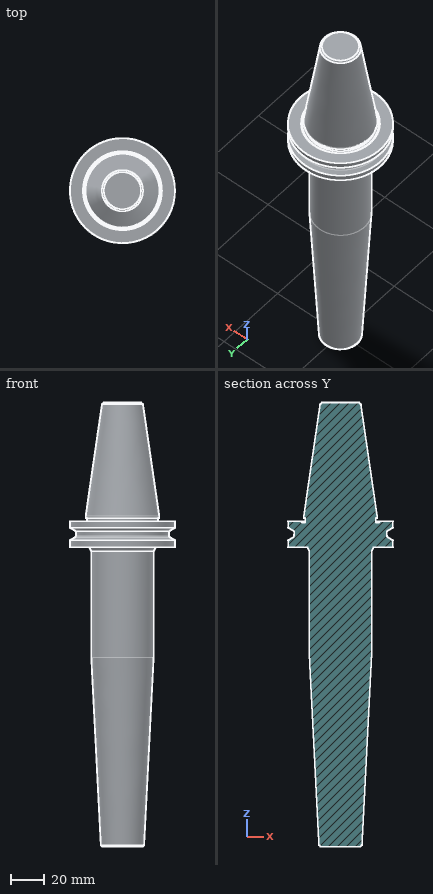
import cadquery as cq

length = 268.5
taper_length = 68.5
flange_top_gap = 3.2
flange_bottom_gap = 19.0
straight_bottom = 114.5

gauge_z = length - taper_length
flange_top = gauge_z - flange_top_gap
flange_bottom = gauge_z - flange_bottom_gap

gauge_radius = 44.5 / 2
taper_ratio = 7 / 24
taper_end_radius = gauge_radius - taper_length * taper_ratio / 2
taper_chamfer = 1.0
gauge_land = 1.3

neck_radius = 21.5
undercut_depth = 0.8
undercut_radius = 24.0

flange_radius = 63.5 / 2
groove_radius = 56.4 / 2
groove_top = gauge_z - 7.2
groove_bottom = gauge_z - 14.8
groove_side_height = 2.1
groove_fillet = 1.0

shank_radius = 37.8 / 2
collar_radius = 20.0
collar_height = 2.5
nose_radius = 13.2
nose_chamfer = 1.0

shank_section = [
    (0, 0),
    (nose_radius - nose_chamfer, 0),
    (nose_radius, nose_chamfer),
    (shank_radius, straight_bottom),
    (shank_radius, flange_bottom - collar_height),
    (collar_radius, flange_bottom),
]
flange_section = [
    (flange_radius, flange_bottom),
    (flange_radius, groove_bottom),
    (groove_radius, groove_bottom + groove_side_height),
    (groove_radius, groove_top - groove_side_height),
    (flange_radius, groove_top),
    (flange_radius, flange_top),
]
taper_section = [
    (undercut_radius, flange_top),
    (undercut_radius - undercut_depth, flange_top - undercut_depth),
    (neck_radius, flange_top - undercut_depth),
    (neck_radius, gauge_z - gauge_land),
    (gauge_radius, gauge_z - gauge_land),
    (gauge_radius, gauge_z),
    (taper_end_radius + taper_chamfer * taper_ratio / 2, length - taper_chamfer),
    (taper_end_radius - taper_chamfer, length),
    (0, length),
]

holder = (
    cq.Workplane("XZ")
    .polyline(shank_section + flange_section + taper_section)
    .close()
    .revolve(360, (0, 0, 0), (0, 1, 0))
)

floor_corner_z = groove_bottom + groove_side_height
corner_margin = groove_side_height / 2
floor_corner = cq.selectors.BoxSelector(
    (-flange_radius, -flange_radius, floor_corner_z - corner_margin),
    (flange_radius, flange_radius, floor_corner_z + corner_margin),
)
result = holder.edges("%CIRCLE").edges(floor_corner).fillet(groove_fillet)